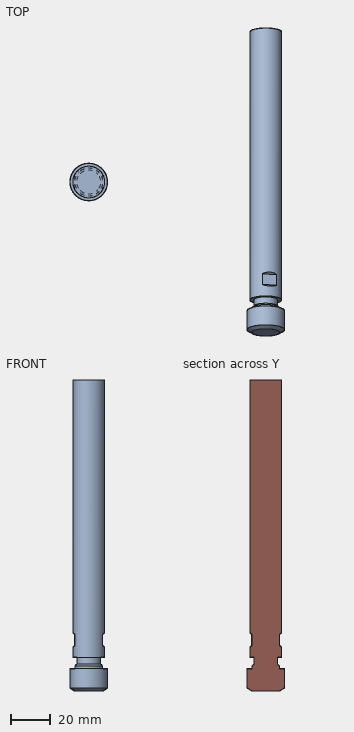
import cadquery as cq

total_length = 156.6

head_diameter = 19.0
collar_diameter = 14.0
neck_diameter = 12.0
shaft_diameter = 16.0

head_top = 11.3
collar_edge = 12.7
shaft_bottom = 16.9

head_chamfer_height = 1.4
head_chamfer_width = 2.3

flat_spacing = 14.1
flat_bottom = 22.1
flat_top = 29.5


def turned_body():
    """Revolve the stepped half profile about Z."""
    head_radius = head_diameter / 2
    collar_radius = collar_diameter / 2
    neck_radius = neck_diameter / 2
    shaft_radius = shaft_diameter / 2
    collar_top = collar_edge + collar_radius - neck_radius
    profile = [
        (0, 0),
        (head_radius - head_chamfer_width, 0),
        (head_radius, head_chamfer_height),
        (head_radius, head_top),
        (collar_radius, head_top),
        (collar_radius, collar_edge),
        (neck_radius, collar_top),
        (neck_radius, shaft_bottom),
        (shaft_radius, shaft_bottom),
        (shaft_radius, total_length),
        (0, total_length),
    ]
    return cq.Workplane("XZ").polyline(profile).close().revolve(360, (0, 0), (0, 1))


def flat_cutter(side):
    """Trapezoidal cutter with 45 degree ends; side is -1 or +1 along X."""
    inner = flat_spacing / 2
    outer = shaft_diameter / 2
    depth = outer - inner
    profile = [
        (side * outer, flat_bottom),
        (side * inner, flat_bottom + depth),
        (side * inner, flat_top - depth),
        (side * outer, flat_top),
    ]
    return cq.Workplane("XZ").polyline(profile).close().extrude(shaft_diameter / 2, both=True)


result = turned_body()
for side in (-1, 1):
    result = result.cut(flat_cutter(side))